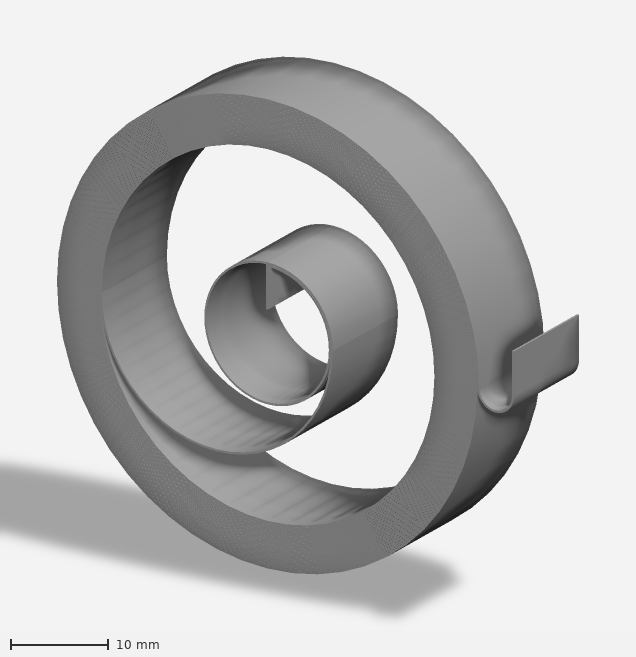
import cadquery as cq
import math


overall_length = 56.25
strip_width = 12.0
strip_thickness = 0.24
pack_outer_radius = 26.0
pack_inner_radius = 20.5
pack_turns = 21
hub_inner_radius = 7.5
tab_end_height = 2.75
hook_end_height = 5.0

half_thickness = strip_thickness / 2
pitch = (pack_outer_radius - pack_inner_radius - strip_thickness) / pack_turns
half_pitch = pitch / 2
hub_radius = hub_inner_radius + half_thickness
pack_first_radius = pack_inner_radius + half_thickness
pack_last_radius = pack_outer_radius - half_thickness
hook_radius = (overall_length - 2 * pack_outer_radius) / 2

FACING_AXIS = -1
FACING_OUT = 1



def hub_arcs():
    """One and a quarter turns about the axis; the left half steps out by one pitch."""
    return [
        (0, 0, hub_radius, 90, -180),
        (0, half_pitch, hub_radius + half_pitch, 270, -180),
        (0, 0, hub_radius + pitch, 90, -90),
    ]


def transition_arc():
    """Half circle below the axis, from the right of the hub to the left of the pack."""
    right_end = hub_radius + pitch
    left_end = -pack_first_radius
    return (right_end + left_end) / 2, 0, (right_end - left_end) / 2, 0, -180


def pack_arcs():
    """Upper and lower half turns, each half a pitch larger than the one before."""
    arcs = []
    for turn in range(pack_turns):
        upper_radius = pack_first_radius + turn * pitch
        arcs.append((0, 0, upper_radius, 180, -180))
        arcs.append((-half_pitch, 0, upper_radius + half_pitch, 0, -180))
    arcs.append((0, 0, pack_last_radius, 180, -180))
    return arcs


def hook_arc():
    """Half circle that bends the end of the strip back up, away from the pack."""
    return pack_last_radius + hook_radius, 0, hook_radius, 180, 180


def point_on_side(arc, side, fraction):
    """Point on one face of the strip, a fraction of the way along an arc."""
    centre_x, centre_z, radius, start, sweep = arc
    face_radius = radius - side * math.copysign(half_thickness, sweep)
    angle = math.radians(start + fraction * sweep)
    return centre_x + face_radius * math.cos(angle), centre_z + face_radius * math.sin(angle)


def strip_profile():
    """Closed outline of the strip: along one face to the hook, back along the other."""
    arcs = [*hub_arcs(), transition_arc(), *pack_arcs(), hook_arc()]
    hook_inside_x, _ = point_on_side(arcs[-1], FACING_OUT, 1)
    hook_back_x, _ = point_on_side(arcs[-1], FACING_AXIS, 1)
    _, tab_top = point_on_side(arcs[0], FACING_OUT, 0)

    outline = cq.Workplane("XZ").moveTo(0, tab_end_height)
    outline = outline.lineTo(*point_on_side(arcs[0], FACING_AXIS, 0))
    for arc in arcs:
        outline = outline.threePointArc(
            point_on_side(arc, FACING_AXIS, 0.5), point_on_side(arc, FACING_AXIS, 1)
        )

    outline = outline.lineTo(hook_back_x, hook_end_height)
    outline = outline.lineTo(hook_inside_x, hook_end_height)
    outline = outline.lineTo(hook_inside_x, 0)

    for arc in reversed(arcs):
        outline = outline.threePointArc(
            point_on_side(arc, FACING_OUT, 0.5), point_on_side(arc, FACING_OUT, 0)
        )
    outline = outline.lineTo(-strip_thickness, tab_top)
    outline = outline.lineTo(-strip_thickness, tab_end_height)
    return outline.close()


result = strip_profile().extrude(strip_width / 2, both=True)